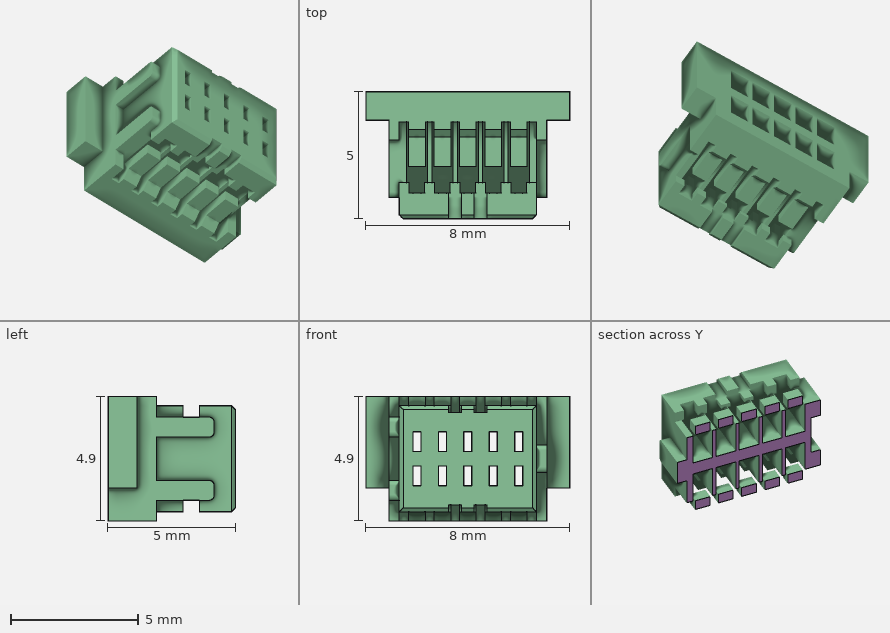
import cadquery as cq


flange_width = 8
total_depth = 5.0
total_height = 4.9
flange_depth = 1.14
flange_height = 3.6
body_width = 6.21
body_depth = 1.9
core_width = 5.39
hood_height = 4.18
hood_start = 3.58
hood_chamfer = 0.16
core_drop = 0.82

pitch = 1.0
columns = 5
row_spacing = 1.34
slot_width = 0.3
slot_height = 0.77
chamber_width = 0.83
chamber_end = 3.98

finger_width = 0.66
finger_root = 1.19
slope_start = 1.5
slope_end = 1.78
finger_end = 2.94

hood_notch_width = 0.61
groove_width = 0.51
groove_depth = 0.27

arm_end = 4.16
arm_radius = 0.2
left_arm_height = 0.78
right_arm_height = 1.07

half_height = total_height / 2
core_half_height = half_height - core_drop
hood_half_height = hood_height / 2
column_positions = [(i - (columns - 1) / 2) * pitch for i in range(columns)]


def block(x_min, x_max, depth_min, depth_max, z_min, z_max):
    """Box between two X limits, two depths from the rear face and two Z limits."""
    size = (x_max - x_min, depth_max - depth_min, z_max - z_min)
    return cq.Workplane().box(*size, centered=False).translate((x_min, -depth_max, z_min))


def centred_block(x, width, depth_min, depth_max, z_min, z_max):
    """Box of the given width centred on x."""
    return block(x - width / 2, x + width / 2, depth_min, depth_max, z_min, z_max)


def add_both_sides(part, upper):
    """Add a feature of the top side and its mirror image on the bottom side."""
    return part.union(upper).union(upper.mirror("XY"))


def cut_both_sides(part, upper):
    """Cut a feature of the top side and its mirror image on the bottom side."""
    return part.cut(upper).cut(upper.mirror("XY"))


def finger(x):
    """Latch finger that slopes down from the body's top face to the hood level."""
    outline = [
        (-finger_root, core_half_height),
        (-finger_root, half_height),
        (-slope_start, half_height),
        (-slope_end, hood_half_height),
        (-finger_end, hood_half_height),
        (-finger_end, core_half_height),
    ]
    profile = cq.Workplane("YZ").polyline(outline).close()
    return profile.extrude(finger_width).translate((x - finger_width / 2, 0, 0))


def side_arm(side, z, height):
    """Arm along the core's side, ending in rounded corners; side is -1 or 1."""
    arm_width = (body_width - core_width) / 2
    arm_x = side * (body_width - arm_width) / 2
    arm = centred_block(arm_x, arm_width, body_depth, arm_end, z - height / 2, z + height / 2)
    return arm.edges("<Y and |X").fillet(arm_radius)


flange = centred_block(0, flange_width, 0, flange_depth, half_height - flange_height, half_height)
body = centred_block(0, body_width, 0, body_depth, -half_height, half_height)
housing = flange.union(body)

root_pocket = centred_block(0, core_width, finger_root, body_depth, core_half_height, half_height)
housing = cut_both_sides(housing, root_pocket)

core = centred_block(0, core_width, finger_root, hood_start, -core_half_height, core_half_height)
hood = centred_block(0, core_width, hood_start, total_depth, -hood_half_height, hood_half_height)
housing = housing.union(core).union(hood.faces("<Y").chamfer(hood_chamfer))

slot_z = row_spacing / 2
slot_bottom = slot_z - slot_height / 2
slot_top = slot_z + slot_height / 2
for x in column_positions:
    chamber = centred_block(x, chamber_width, 0, chamber_end, slot_bottom, core_half_height)
    slot = centred_block(x, slot_width, chamber_end, total_depth, slot_bottom, slot_top)
    notch = centred_block(x, hood_notch_width, hood_start, chamber_end, core_half_height, hood_half_height)
    housing = cut_both_sides(housing, chamber.union(slot).union(notch))
    housing = add_both_sides(housing, finger(x))

groove_floor = hood_half_height - groove_depth
for x in (-pitch / 2, pitch / 2):
    groove = centred_block(x, groove_width, hood_start, total_depth, groove_floor, hood_half_height)
    housing = cut_both_sides(housing, groove)

left_arm = side_arm(-1, core_half_height - left_arm_height / 2, left_arm_height)
housing = add_both_sides(housing, left_arm)
housing = housing.union(side_arm(1, 0, right_arm_height))

result = housing